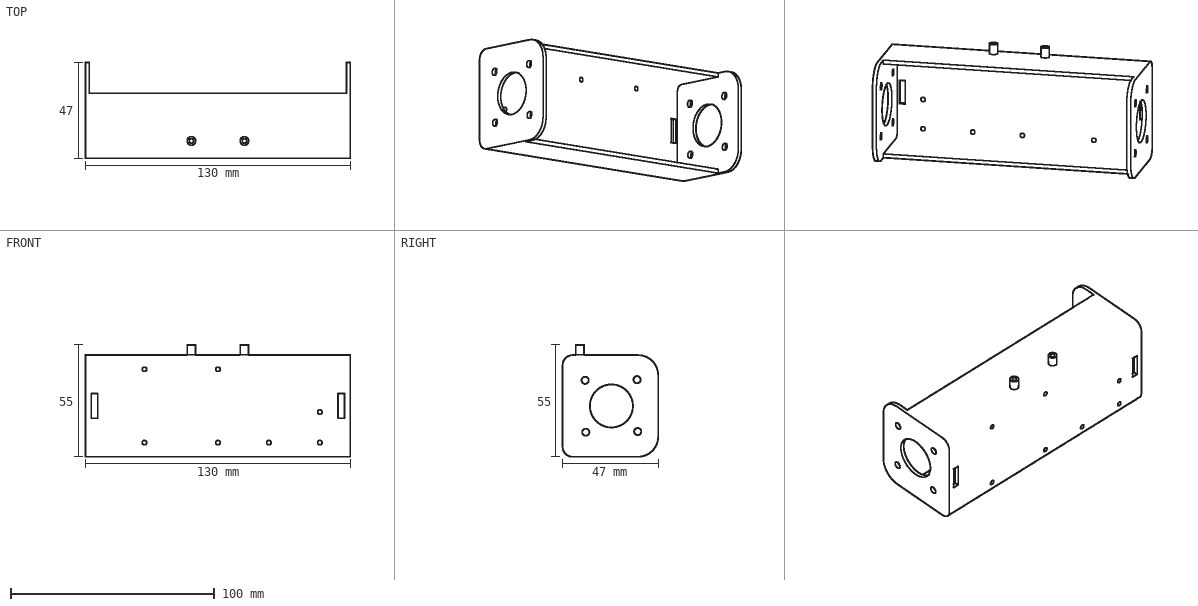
import cadquery as cq


LENGTH = 130.0
HEIGHT = 50.0
SHEET = 2.0
CHANNEL_DEPTH = 32.0
END_PLATE_DEPTH = 47.0
BEND_RADIUS = 5.0
INNER_BEND_RADIUS = BEND_RADIUS - SHEET
BACK_CORNER_RADIUS = 10.0

BORE_Y = 24.0
BORE_DIAMETER = 21.0
SCREW_CIRCLE_DIAMETER = 36.0
SCREW_HOLE_DIAMETER = 3.4
SCREW_COUNT = 4
SCREW_START_ANGLE = 45.7

SLOT_WIDTH = 3.0
SLOT_HEIGHT = 12.0
SLOT_END_GAP = 1.0
SLOT_X = LENGTH / 2 - SHEET - SLOT_END_GAP - SLOT_WIDTH / 2

BOSS_DIAMETER = 4.2
BOSS_HOLE_DIAMETER = 2.2
BOSS_HEIGHT = 5.0
BOSS_SPACING = 26.0
BOSS_Y = 8.5

STUD_DIAMETER = 2.2
SQUARE_PITCH = 36.0
L_PITCH_X = 25.0
L_PITCH_Z = 15.0
LOW_ROW_Z = -SQUARE_PITCH / 2
STUD_POSITIONS = [
    (-SQUARE_PITCH, LOW_ROW_Z),
    (-SQUARE_PITCH, LOW_ROW_Z + SQUARE_PITCH),
    (0, LOW_ROW_Z),
    (0, LOW_ROW_Z + SQUARE_PITCH),
    (L_PITCH_X, LOW_ROW_Z),
    (2 * L_PITCH_X, LOW_ROW_Z),
    (2 * L_PITCH_X, LOW_ROW_Z + L_PITCH_Z),
]


def block(length, y_start, y_end, height):
    """Box centred in X and Z, running from y_start to y_end."""
    return cq.Workplane("XY").box(length, y_end - y_start, height).translate((0, (y_start + y_end) / 2, 0))


def make_shell():
    """Channel and end plates in one piece, with rounded bends and back corners."""
    shell = block(LENGTH, 0, END_PLATE_DEPTH, HEIGHT)
    shell = shell.edges("|X and <Y").fillet(BEND_RADIUS)
    shell = shell.edges("|X and >Y").fillet(BACK_CORNER_RADIUS)

    inside_length = LENGTH - 2 * SHEET
    cavity = block(inside_length, SHEET, END_PLATE_DEPTH, HEIGHT - 2 * SHEET)
    cavity = cavity.edges("|X and <Y").fillet(INNER_BEND_RADIUS)
    back_opening = block(inside_length, CHANNEL_DEPTH, END_PLATE_DEPTH, HEIGHT)
    return shell.cut(cavity).cut(back_opening)


def end_plate_cutter():
    """Bore and its circle of screw holes, running through both end plates."""
    end_face = cq.Workplane("YZ", origin=(-LENGTH / 2, BORE_Y, 0))
    bore = end_face.circle(BORE_DIAMETER / 2).extrude(LENGTH)
    screw_holes = (
        end_face.polarArray(SCREW_CIRCLE_DIAMETER / 2, SCREW_START_ANGLE, 360, SCREW_COUNT)
        .circle(SCREW_HOLE_DIAMETER / 2)
        .extrude(LENGTH)
    )
    return bore.union(screw_holes)


def front_wall_pins(diameter):
    """Cylinders through the front wall at the stud positions."""
    return (
        cq.Workplane("XZ")
        .pushPoints(STUD_POSITIONS)
        .circle(diameter / 2)
        .extrude(-SHEET)
    )


def slot_cutter():
    """The two upright slots, one near each end of the front wall."""
    return (
        cq.Workplane("XZ")
        .pushPoints([(-SLOT_X, 0), (SLOT_X, 0)])
        .rect(SLOT_WIDTH, SLOT_HEIGHT)
        .extrude(-SHEET)
    )


def make_bosses():
    """Bosses on the top wall, each with a hole down to the wall."""
    return (
        cq.Workplane("XY", origin=(0, BOSS_Y, HEIGHT / 2))
        .pushPoints([(-BOSS_SPACING / 2, 0), (BOSS_SPACING / 2, 0)])
        .circle(BOSS_DIAMETER / 2)
        .circle(BOSS_HOLE_DIAMETER / 2)
        .extrude(BOSS_HEIGHT)
    )


def make_housing():
    housing = make_shell().union(make_bosses())
    housing = housing.cut(end_plate_cutter()).cut(slot_cutter())
    return housing.cut(front_wall_pins(STUD_DIAMETER))


housing = make_housing()
studs = front_wall_pins(STUD_DIAMETER)

result = cq.Compound.makeCompound([housing.val(), *studs.vals()])